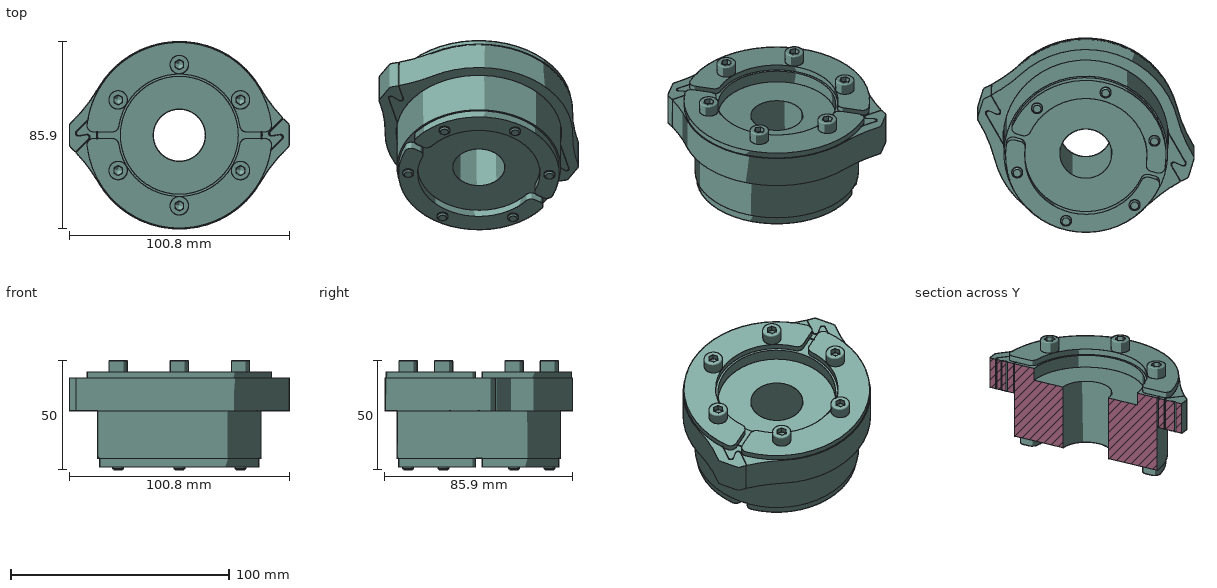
import cadquery as cq
import math


screw_tip_length = 1.3
bottom_plate_thickness = 3.9
body_skirt_height = 21.8
collar_height = 15.1
top_plate_thickness = 2.7
screw_head_height = 5.2

bottom_plate_z = screw_tip_length
body_z = bottom_plate_z + bottom_plate_thickness
collar_z = body_z + body_skirt_height
top_plate_z = collar_z + collar_height
screw_head_z = top_plate_z + top_plate_thickness

body_radius = 37.5
pocket_radius = 27.0
pocket_depth = 5.9
bore_radius = 11.9
core_layers = 14
pocket_floor_z = top_plate_z - pocket_depth

collar_radius = 85.9 / 2
collar_play = 0.4
collar_inner_radius = body_radius + collar_play
lug_reach = 50.4
lug_half_width = 5
lug_corner_radius = 2
flank_start_angle = math.radians(30)

joint_slope = math.radians(45)
hook_tip = (-49.6, -0.9)
hook_root = (-38.8, 0.9)
hook_radius = 1.2
joint_slide = (0.36, 0.1)
joint_mouth = (-47.3, -7.7)
joint_mouth_radius = 0.5
inner_arm_length = 23.7
outer_arm_length = 19.1
joint_inner_x = -30.2

top_plate_radius = 42.5
bottom_plate_radius = 36.8
plate_inner_radius = 28.0
plate_gap = 3
plate_corner_radius = 3

screw_count = 6
screw_circle_radius = 32.3
screw_head_diameter = 8.5
screw_head_fillet = 0.5
screw_diameter = 5
screw_tip_chamfer = 0.7
socket_flats = 4
socket_depth = 2.5
socket_cone_depth = 1.2


def polar(radius, angle):
    return (radius * math.cos(angle), radius * math.sin(angle))


def half_body(start_angle):
    """Half of the body; the pocket floor is divided into concentric layer faces."""
    layer_width = (pocket_radius - bore_radius) / core_layers
    layer_edges = [
        (bore_radius + i * layer_width, pocket_floor_z) for i in range(core_layers + 1)
    ]
    profile = [
        (bore_radius, body_z),
        *layer_edges,
        (pocket_radius, top_plate_z),
        (body_radius, top_plate_z),
        (body_radius, body_z),
    ]
    half = cq.Workplane("XZ").polyline(profile).close().revolve(180, (0, 0), (0, 1), clean=False)
    return half.rotate((0, 0, 0), (0, 0, 1), start_angle)


def collar_blank():
    """Ring with two pointed lugs; each flank leaves the ring tangentially and curves outwards."""
    x, y = polar(collar_radius, flank_start_angle)
    tangent = (math.sin(flank_start_angle), -math.cos(flank_start_angle))

    def lug_flank_mid(side_x, side_y):
        """Point halfway along the arc that is tangent to the ring and ends at the lug face."""
        run = lug_reach - x
        drop = y - lug_half_width
        chord = math.hypot(run, drop)
        turn = math.acos((run * tangent[0] - drop * tangent[1]) / chord)
        bulge = chord / 2 * math.tan(turn / 2)
        mid_x = (x + lug_reach) / 2 - bulge * drop / chord
        mid_y = (y + lug_half_width) / 2 - bulge * run / chord
        return (side_x * mid_x, side_y * mid_y)

    outline = (
        cq.Workplane("XY", origin=(0, 0, collar_z))
        .moveTo(x, y)
        .threePointArc((0, collar_radius), (-x, y))
        .threePointArc(lug_flank_mid(-1, 1), (-lug_reach, lug_half_width))
        .lineTo(-lug_reach, -lug_half_width)
        .threePointArc(lug_flank_mid(-1, -1), (-x, -y))
        .threePointArc((0, -collar_radius), (x, -y))
        .threePointArc(lug_flank_mid(1, -1), (lug_reach, -lug_half_width))
        .lineTo(lug_reach, lug_half_width)
        .threePointArc(lug_flank_mid(1, 1), (x, y))
        .close()
        .extrude(collar_height)
    )
    outline = outline.edges("|Z and (<X or >X)").fillet(lug_corner_radius)
    opening = cq.Workplane("XY", origin=(0, 0, collar_z)).circle(collar_inner_radius)
    return outline.cut(opening.extrude(collar_height))


def parting_slit():
    """Narrow hooked slit through the -X lug, left between two slightly slid joint lines."""
    arm = polar(1, joint_slope)
    inner_end = (hook_tip[0] + inner_arm_length * arm[0], hook_tip[1] + inner_arm_length * arm[1])
    outer_end = (hook_root[0] - outer_arm_length * arm[0], hook_root[1] - outer_arm_length * arm[1])
    joint_inner_y = outer_end[1] + (joint_inner_x - outer_end[0]) * joint_slide[1] / joint_slide[0]
    half_plan = (
        cq.Workplane("XY", origin=(0, 0, collar_z))
        .polyline([
            inner_end,
            hook_tip,
            hook_root,
            outer_end,
            (joint_inner_x, joint_inner_y),
            (joint_inner_x, inner_end[1]),
        ])
        .close()
        .extrude(collar_height)
    )
    for corner in (hook_tip, hook_root):
        near_corner = cq.selectors.NearestToPointSelector((*corner, collar_z + collar_height / 2))
        half_plan = half_plan.edges("|Z").edges(near_corner).fillet(hook_radius)
    shift = cq.Vector(joint_slide[0] / 2, joint_slide[1] / 2, 0)
    return half_plan.translate(-shift).cut(half_plan.translate(shift))


def collar():
    slit = parting_slit()
    ring = collar_blank()
    for turn in (0, 180):
        ring = ring.cut(slit.rotate((0, 0, 0), (0, 0, 1), turn))
    for side in (1, -1):
        mouth = cq.Vector(side * joint_mouth[0], side * joint_mouth[1], collar_z + collar_height / 2)
        reach = cq.Vector(joint_mouth_radius, joint_mouth_radius, joint_mouth_radius)
        mouth_box = cq.selectors.BoxSelector((mouth - reach).toTuple(), (mouth + reach).toTuple())
        ring = ring.edges("|Z").edges(mouth_box).fillet(joint_mouth_radius)
    return ring


def split_plate(outer_radius, base_z, thickness):
    """Ring plate sawn along X into two halves with rounded corners."""
    ring = (
        cq.Workplane("XY", origin=(0, 0, base_z))
        .circle(outer_radius)
        .circle(plate_inner_radius)
        .extrude(thickness)
    )
    gap = (
        cq.Workplane("XY", origin=(0, 0, base_z))
        .rect(2 * outer_radius, plate_gap)
        .extrude(thickness)
    )
    gap_box = cq.selectors.BoxSelector(
        (-outer_radius, -plate_gap, base_z),
        (outer_radius, plate_gap, base_z + thickness),
    )
    return ring.cut(gap).edges("|Z").edges(gap_box).fillet(plate_corner_radius)


def screw_head():
    """Cylinder head with a hexagon socket that ends in a drilled cone."""
    head = (
        cq.Workplane("XY", origin=(0, 0, screw_head_z))
        .circle(screw_head_diameter / 2)
        .extrude(screw_head_height)
        .faces(">Z")
        .edges()
        .fillet(screw_head_fillet)
    )
    socket_floor_z = screw_head_z + screw_head_height - socket_depth
    socket = (
        cq.Workplane("XY", origin=(0, 0, socket_floor_z))
        .transformed(rotate=(0, 0, 90))
        .polygon(6, socket_flats / math.cos(math.pi / 6))
        .extrude(socket_depth)
    )
    cone = cq.Solid.makeCone(
        socket_flats / 2, 0, socket_cone_depth,
        pnt=cq.Vector(0, 0, socket_floor_z), dir=cq.Vector(0, 0, -1),
    )
    return head.cut(socket).cut(cq.Workplane(obj=cone))


def screw_tip():
    return (
        cq.Workplane("XY")
        .circle(screw_diameter / 2)
        .extrude(screw_tip_length)
        .faces("<Z")
        .chamfer(screw_tip_chamfer)
    )


result = half_body(0).union(half_body(180), clean=False)
parts = [
    collar(),
    split_plate(top_plate_radius, top_plate_z, top_plate_thickness),
    split_plate(bottom_plate_radius, bottom_plate_z, bottom_plate_thickness),
]
for part in parts:
    result = result.union(part, clean=False)

for i in range(screw_count):
    place = polar(screw_circle_radius, math.radians(90 + i * 360 / screw_count))
    for piece in (screw_head(), screw_tip()):
        result = result.union(piece.translate((*place, 0)), clean=False)